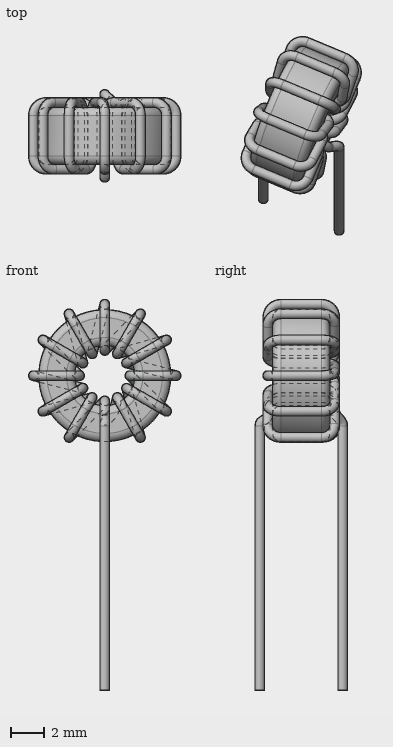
import cadquery as cq
import math


total_height = 23.65
winding_diameter = 9.22

core_outer_diameter = 8.0
core_bore_diameter = 3.65
core_width = 3.45
core_edge_radius = 0.5

wire_diameter = 0.6
turn_count = 12
lead_pitch = 5.0
lead_top_radius = 3.05
elbow_pull = 0.47

wire_radius = wire_diameter / 2
outer_path_radius = winding_diameter / 2 - wire_radius
inner_path_radius = core_bore_diameter / 2 - wire_radius
side_offset = core_width / 2 + wire_radius
bend_radius = core_edge_radius + wire_radius
lead_bottom_z = winding_diameter / 2 - total_height
turn_angle = 2 * math.pi / turn_count
down = cq.Vector(0, 0, -1)


def ring_point(radius, turn, y):
    """Point at a turn position; turns run from the bottom, over the -X side, to the top."""
    angle = turn * turn_angle
    return cq.Vector(-radius * math.sin(angle), y, -radius * math.cos(angle))


def bend(before, corner, after):
    """Quarter-circle bend that rounds a right-angled corner of the wire path."""
    incoming = (corner - before).normalized()
    outgoing = (after - corner).normalized()
    center = corner + (outgoing - incoming) * bend_radius
    start = corner - incoming * bend_radius
    end = corner + outgoing * bend_radius
    middle = center + (incoming - outgoing).normalized() * bend_radius
    return cq.Edge.makeThreePointArc(start, middle, end)


def elbow(start, start_direction, end, end_direction):
    """S-shaped curve between a straight lead and the first or last bend."""
    return cq.Edge.makeBezier(
        [start, start + start_direction * elbow_pull, end - end_direction * elbow_pull, end]
    )


def winding_corners():
    """Sharp corners of the wound part of the wire path; the two end ones only give its direction."""
    corners = [ring_point(outer_path_radius, 0, -side_offset)]
    for turn in range(turn_count):
        corners.append(ring_point(inner_path_radius, turn, -side_offset))
        corners.append(ring_point(inner_path_radius, turn, side_offset))
        corners.append(ring_point(outer_path_radius, turn + 1, side_offset))
        corners.append(ring_point(outer_path_radius, turn + 1, -side_offset))
    return corners[:-1]


def wire_path():
    """Axis of the whole wire: front lead, elbow, turns, elbow, back lead."""
    corners = winding_corners()
    bends = [bend(*corners[i - 1:i + 2]) for i in range(1, len(corners) - 1)]
    front_top = cq.Vector(0, -lead_pitch / 2, -lead_top_radius)
    back_top = cq.Vector(0, lead_pitch / 2, -lead_top_radius)
    front_bottom = cq.Vector(front_top.x, front_top.y, lead_bottom_z)
    back_bottom = cq.Vector(back_top.x, back_top.y, lead_bottom_z)
    first_bend = bends[0]
    last_bend = bends[-1]

    edges = [
        cq.Edge.makeLine(front_bottom, front_top),
        elbow(front_top, -down, first_bend.startPoint(), first_bend.tangentAt(0)),
        first_bend,
    ]
    for previous, current in zip(bends, bends[1:]):
        edges.append(cq.Edge.makeLine(previous.endPoint(), current.startPoint()))
        edges.append(current)
    edges.append(elbow(last_bend.endPoint(), last_bend.tangentAt(1), back_top, down))
    edges.append(cq.Edge.makeLine(back_top, back_bottom))
    return cq.Wire.assembleEdges(edges)


def make_core():
    ring = (
        cq.Workplane("XZ", origin=(0, core_width / 2, 0))
        .circle(core_outer_diameter / 2)
        .circle(core_bore_diameter / 2)
        .extrude(core_width)
    )
    return ring.edges().fillet(core_edge_radius).solids()


def make_winding():
    path = wire_path()
    return (
        cq.Workplane("XY", origin=(0, -lead_pitch / 2, lead_bottom_z))
        .circle(wire_radius)
        .sweep(cq.Workplane(obj=path))
    )


core = make_core()
winding = make_winding()

result = cq.Compound.makeCompound([core.val(), winding.val()])